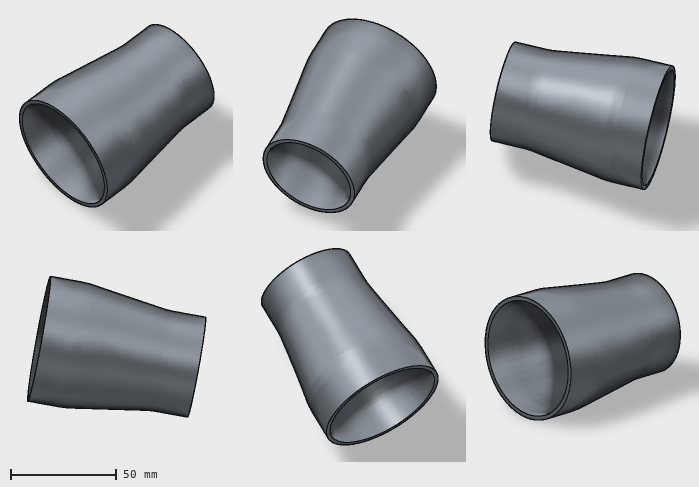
import cadquery as cq
import math

length = 76.0
wide_radius = 60.3 / 2
narrow_radius = 48.3 / 2
wall = 2.0
collar_length = 15.0
bend_radius = 38.0

transition_length = length - 2 * collar_length
bend_offset = 2 * bend_radius - (wide_radius - narrow_radius)
center_distance = math.hypot(transition_length, bend_offset)
cone_angle = math.atan2(transition_length, bend_offset) - math.acos(2 * bend_radius / center_distance)

wide_bend_y = collar_length
narrow_bend_y = length - collar_length


def bend_point(start_y, collar_radius, signed_radius, angle):
    """(Y, radius) of a bend point turned by angle from the collar; a negative radius is concave."""
    y = start_y + signed_radius * math.sin(angle)
    radius = collar_radius - signed_radius * (1 - math.cos(angle))
    return (y, radius)


def reducer_body(inset):
    """Solid of revolution inside the outer skin offset inwards by inset."""
    wide = wide_radius - inset
    narrow = narrow_radius - inset
    wide_bend = (wide_bend_y, wide, bend_radius - inset)
    narrow_bend = (narrow_bend_y, narrow, -(bend_radius + inset))
    return (
        cq.Workplane("YZ")
        .lineTo(0, wide)
        .lineTo(wide_bend_y, wide)
        .threePointArc(bend_point(*wide_bend, cone_angle / 2), bend_point(*wide_bend, cone_angle))
        .lineTo(*bend_point(*narrow_bend, cone_angle))
        .threePointArc(bend_point(*narrow_bend, cone_angle / 2), (narrow_bend_y, narrow))
        .lineTo(length, narrow)
        .lineTo(length, 0)
        .close()
        .revolve(360, (0, 0, 0), (1, 0, 0))
    )


result = reducer_body(0).cut(reducer_body(wall))